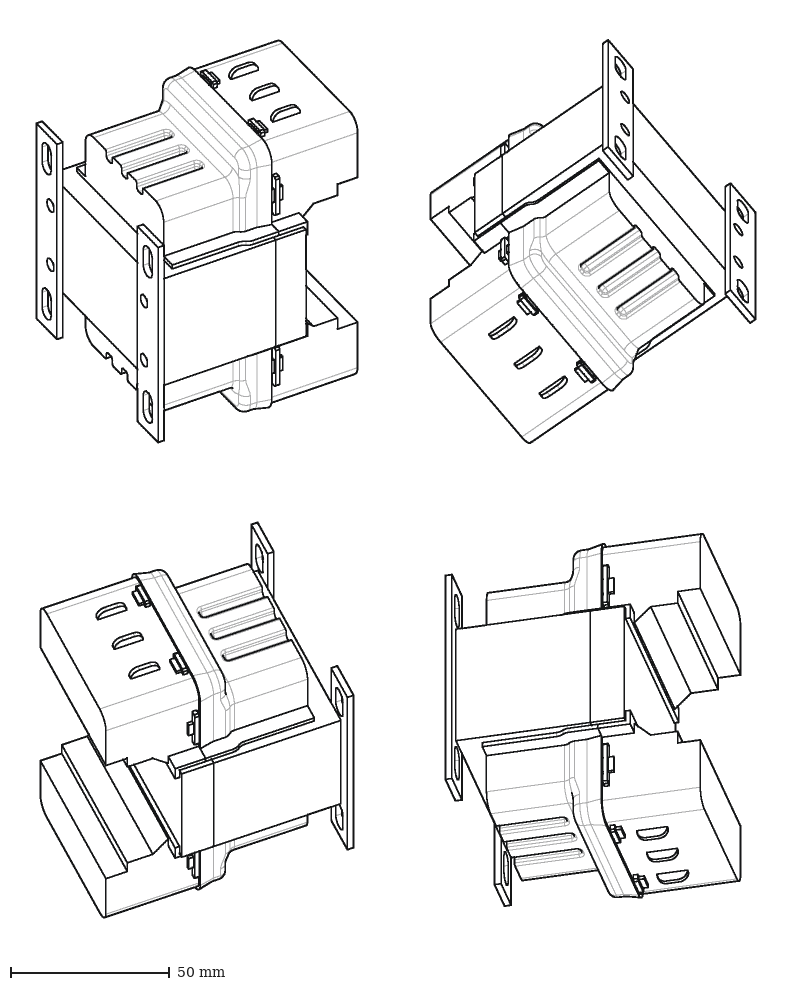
import cadquery as cq
import math


OVERALL_HEIGHT = 108.0
OVERALL_DEPTH = 79.7

STRIP_SPAN = 76.2
STRIP_HEIGHT = 76.2
STRIP_WIDTH = 13.0
STRIP_THICKNESS = 2.2
SLOT_WIDTH = 5.5
SLOT_LENGTH = 11.5
SLOT_PITCH_X = 63.3
SLOT_PITCH_Z = 56.8
HOLE_DIAMETER = 4.3
HOLE_PITCH_X = 58.5
HOLE_PITCH_Z = 23.1

CORE_WIDTH = 66.1
CORE_HEIGHT = 41.7
CORE_DEPTH = 54.6
I_CORE_DEPTH = CORE_WIDTH / 6
CORE_TOP = CORE_HEIGHT / 2
CORE_BACK = STRIP_THICKNESS + CORE_DEPTH

SPLIT_Y = 47.8

FLANGE_THICKNESS = 1.5
FLANGE_FRONT_HALF_WIDTH = 29.9
FLANGE_BACK_HALF_WIDTH = 31.4
FLANGE_STEP_FRONT = 33.9
FLANGE_STEP_BACK = 38.5
LIP_DROP = 3.6

NOSE_HALF_WIDTH = 24.5
NOSE_HALF_HEIGHT = 40.8
NOSE_FRONT = 9.9
COLLAR_HALF_WIDTH = 26.0
COLLAR_HALF_HEIGHT = 51.0
COLLAR_FRONT = 37.8
CORNER_RADIUS = 5.1
STEP_RADIUS = 2.7
FLARE_START = 42.9
FLARE_WIDENING = 1.1

MARGIN = 0.1

GROOVE_COUNT = 3
GROOVE_PITCH = 9.5
GROOVE_WIDTH = 3.7
GROOVE_DEPTH = 3.1
GROOVE_END = 32.1
GROOVE_INNER_RADIUS = 1.2
GROOVE_RIM_RADIUS = 0.8

SLOPE_FOOT_Z = 18.9
SLOPE_TOP_Y = 63.6
SHELF_Z = 24.0
STEP_Y = 72.4
BACK_SHELF_Z = 28.3

TAB_COUNT = 3
TAB_PITCH = 13.1
TAB_WIDTH = 1.5
TAB_LENGTH = 9.9
TAB_MIDDLE_Y = 60.9
TAB_HEIGHT = OVERALL_HEIGHT / 2 - COLLAR_HALF_HEIGHT

BAR_THICKNESS = 1.5
BAR_FRONT = 48.6
BAR_RISE = 2.2
BAR_CHAMFER = 0.6
STEM_LENGTH = 5.2
STEM_BACK = 51.8
STEM_RISE = 1.1
TOP_BAR_LENGTH = 7.9
TOP_LATCH_X = 14.9
SIDE_BAR_LENGTH = 14.9
SIDE_LATCH_Z = 33.4


def block(x_min, x_max, y_min, y_max, z_min, z_max):
    """Box between the given limits."""
    box = cq.Workplane("XY").box(x_max - x_min, y_max - y_min, z_max - z_min, centered=False)
    return box.translate((x_min, y_min, z_min))


def rounded_block(half_width, half_height, corner_radius, y_min, y_max):
    """Box centred on X = Z = 0 with its edges along Y rounded."""
    box = block(-half_width, half_width, y_min, y_max, -half_height, half_height)
    return box.edges("|Y").fillet(corner_radius)


def spread(count, pitch):
    """Evenly spaced places centred on zero."""
    return [(i - (count - 1) / 2) * pitch for i in range(count)]


def above_core(body):
    """The part of a body that lies higher than the top of the core."""
    return body.intersect(
        block(-STRIP_SPAN, STRIP_SPAN, 0, OVERALL_DEPTH, CORE_TOP, OVERALL_HEIGHT)
    )


def make_strip(side):
    """Mounting strip on the given side in X, with two slots and two round holes."""
    inner = STRIP_SPAN / 2 - STRIP_WIDTH
    half_height = STRIP_HEIGHT / 2
    strip = block(inner, STRIP_SPAN / 2, 0, STRIP_THICKNESS, -half_height, half_height)
    slots = (
        cq.Workplane("XZ")
        .pushPoints([(SLOT_PITCH_X / 2, z) for z in spread(2, SLOT_PITCH_Z)])
        .slot2D(SLOT_LENGTH, SLOT_WIDTH, 90)
        .extrude(-STRIP_THICKNESS)
    )
    holes = (
        cq.Workplane("XZ")
        .pushPoints([(HOLE_PITCH_X / 2, z) for z in spread(2, HOLE_PITCH_Z)])
        .circle(HOLE_DIAMETER / 2)
        .extrude(-STRIP_THICKNESS)
    )
    strip = strip.cut(slots).cut(holes)
    return strip if side > 0 else strip.mirror("YZ")


def make_core_part(y_min, y_max):
    """Stack of core sheets between two Y places."""
    return block(-CORE_WIDTH / 2, CORE_WIDTH / 2, y_min, y_max, -CORE_TOP, CORE_TOP)


def edge_at(body, z):
    """The edge in the plane of the collar's front whose middle lies at X = 0 and the given Z."""
    return body.edges(cq.selectors.NearestToPointSelector((0, COLLAR_FRONT, z)))


def make_nose():
    """Nose with a plate behind it and a concave fillet between the two.

    The plate is just large enough to hold the whole fillet.
    """
    reach = STEP_RADIUS + MARGIN
    nose = rounded_block(
        NOSE_HALF_WIDTH, NOSE_HALF_HEIGHT, CORNER_RADIUS, NOSE_FRONT, SPLIT_Y
    )
    plate = rounded_block(
        NOSE_HALF_WIDTH + reach,
        NOSE_HALF_HEIGHT + reach,
        CORNER_RADIUS + reach,
        COLLAR_FRONT,
        SPLIT_Y,
    )
    return edge_at(nose.union(plate), NOSE_HALF_HEIGHT).fillet(STEP_RADIUS)


def make_flare():
    """Widening at the back of the collar."""
    length = SPLIT_Y - FLARE_START
    angle = math.degrees(math.atan2(FLARE_WIDENING, length))
    return (
        rounded_block(COLLAR_HALF_WIDTH, COLLAR_HALF_HEIGHT, CORNER_RADIUS, FLARE_START, SPLIT_Y)
        .faces("<Y")
        .wires()
        .toPending()
        .workplane(invert=True)
        .extrude(length, taper=-angle, combine=False)
    )


def make_shell():
    """Nose and collar, closed round the Y axis.

    The collar's sides trim the nose's concave fillet, so that the rounding of the collar's
    front edge meets it there in a smooth S.
    """
    limits = (COLLAR_HALF_WIDTH, COLLAR_HALF_HEIGHT, CORNER_RADIUS)
    trimmed_nose = make_nose().intersect(rounded_block(*limits, NOSE_FRONT, SPLIT_Y))
    collar = rounded_block(*limits, COLLAR_FRONT, SPLIT_Y)
    shell = edge_at(collar.union(trimmed_nose).clean(), COLLAR_HALF_HEIGHT).fillet(STEP_RADIUS)
    return shell.union(make_flare())


def cut_grooves(cover):
    """Cut the grooves that run along the nose from its front, with rounded rims."""
    floor = NOSE_HALF_HEIGHT - GROOVE_DEPTH
    for x in spread(GROOVE_COUNT, GROOVE_PITCH):
        half = GROOVE_WIDTH / 2
        front = NOSE_FRONT - GROOVE_WIDTH
        tool = block(x - half, x + half, front, GROOVE_END, floor, NOSE_HALF_HEIGHT + MARGIN)
        tool = tool.edges("|Z").fillet(GROOVE_INNER_RADIUS)
        tool = tool.faces("<Z").edges().fillet(GROOVE_INNER_RADIUS)
        cover = cover.cut(tool)
        reach = half + MARGIN
        rim_edges = cq.selectors.BoxSelector(
            (x - reach, NOSE_FRONT - MARGIN, NOSE_HALF_HEIGHT - MARGIN),
            (x + reach, GROOVE_END + MARGIN, NOSE_HALF_HEIGHT + MARGIN),
            boundingbox=True,
        )
        cover = cover.edges(rim_edges).fillet(GROOVE_RIM_RADIUS)
    return cover


def make_cover_flange():
    """Front part of the flange, which widens in an S on each side."""
    middle = (
        (FLANGE_FRONT_HALF_WIDTH + FLANGE_BACK_HALF_WIDTH) / 2,
        (FLANGE_STEP_FRONT + FLANGE_STEP_BACK) / 2,
    )
    half = (
        cq.Workplane("XY", origin=(0, 0, CORE_TOP))
        .moveTo(0, NOSE_FRONT)
        .lineTo(FLANGE_FRONT_HALF_WIDTH, NOSE_FRONT)
        .lineTo(FLANGE_FRONT_HALF_WIDTH, FLANGE_STEP_FRONT)
        .tangentArcPoint(middle, relative=False)
        .tangentArcPoint((FLANGE_BACK_HALF_WIDTH, FLANGE_STEP_BACK), relative=False)
        .lineTo(FLANGE_BACK_HALF_WIDTH, SPLIT_Y)
        .lineTo(0, SPLIT_Y)
        .close()
        .extrude(FLANGE_THICKNESS)
    )
    return half.union(half.mirror("YZ"))


def make_coil_cover():
    """Upper coil cover with its grooves and its part of the flange."""
    cover = above_core(make_shell())
    return cut_grooves(cover).union(make_cover_flange())


def make_housing_body():
    """Terminal housing without its tabs and latches."""
    lip_back = CORE_BACK + FLANGE_THICKNESS
    profile = (
        cq.Workplane("YZ", origin=(-COLLAR_HALF_WIDTH, 0, 0))
        .polyline(
            [
                (SPLIT_Y, CORE_TOP),
                (CORE_BACK, CORE_TOP),
                (CORE_BACK, SLOPE_FOOT_Z),
                (lip_back, SLOPE_FOOT_Z),
                (SLOPE_TOP_Y, SHELF_Z),
                (STEP_Y, SHELF_Z),
                (STEP_Y, BACK_SHELF_Z),
                (OVERALL_DEPTH, BACK_SHELF_Z),
                (OVERALL_DEPTH, COLLAR_HALF_HEIGHT),
                (SPLIT_Y, COLLAR_HALF_HEIGHT),
            ]
        )
        .close()
        .extrude(2 * COLLAR_HALF_WIDTH)
    )
    shell = rounded_block(
        COLLAR_HALF_WIDTH, COLLAR_HALF_HEIGHT, CORNER_RADIUS, SPLIT_Y, OVERALL_DEPTH
    )
    half = FLANGE_BACK_HALF_WIDTH
    flange = block(-half, half, SPLIT_Y, lip_back, CORE_TOP, CORE_TOP + FLANGE_THICKNESS)
    lip = block(-half, half, CORE_BACK, lip_back, CORE_TOP - LIP_DROP, CORE_TOP)
    return shell.intersect(profile).union(flange).union(lip)


def make_tab(x):
    """Tab, rooted in the housing, whose upper corners are rounded over its whole visible height."""
    tab = block(
        x - TAB_WIDTH / 2,
        x + TAB_WIDTH / 2,
        TAB_MIDDLE_Y - TAB_LENGTH / 2,
        TAB_MIDDLE_Y + TAB_LENGTH / 2,
        COLLAR_HALF_HEIGHT - TAB_HEIGHT,
        COLLAR_HALF_HEIGHT + TAB_HEIGHT,
    )
    return tab.faces(">Z").edges("|X").fillet(TAB_HEIGHT)


def make_latch(bar_length):
    """Latch on the plane Z = 0, with its bar along X and its root below that plane."""
    half = bar_length / 2
    bar = block(-half, half, BAR_FRONT, BAR_FRONT + BAR_THICKNESS, -BAR_RISE, BAR_RISE)
    bar = bar.faces(">Z").edges("|Y").chamfer(BAR_CHAMFER)
    stem = block(-STEM_LENGTH / 2, STEM_LENGTH / 2, SPLIT_Y, STEM_BACK, -BAR_RISE, STEM_RISE)
    return bar.union(stem)


def make_housing():
    """Upper terminal housing with its tabs and latches."""
    housing = make_housing_body()
    for x in spread(TAB_COUNT, TAB_PITCH):
        housing = housing.union(make_tab(x))
    top_latch = make_latch(TOP_BAR_LENGTH)
    side_latch = make_latch(SIDE_BAR_LENGTH).rotate((0, 0, 0), (0, 1, 0), 90)
    side_latch = side_latch.translate((COLLAR_HALF_WIDTH, 0, SIDE_LATCH_Z))
    for x in (-TOP_LATCH_X, TOP_LATCH_X):
        housing = housing.union(top_latch.translate((x, 0, COLLAR_HALF_HEIGHT)))
    return housing.union(side_latch).union(side_latch.mirror("YZ"))


strips = [make_strip(side) for side in (-1, 1)]
e_core = make_core_part(STRIP_THICKNESS, CORE_BACK - I_CORE_DEPTH)
i_core = make_core_part(CORE_BACK - I_CORE_DEPTH, CORE_BACK)
upper_cover = make_coil_cover()
coil_covers = [upper_cover, upper_cover.mirror("XY")]
upper_housing = make_housing()
housings = [upper_housing, upper_housing.mirror("XY")]

bodies = [*strips, e_core, i_core, *coil_covers, *housings]
result = cq.Compound.makeCompound([body.solids().val() for body in bodies])